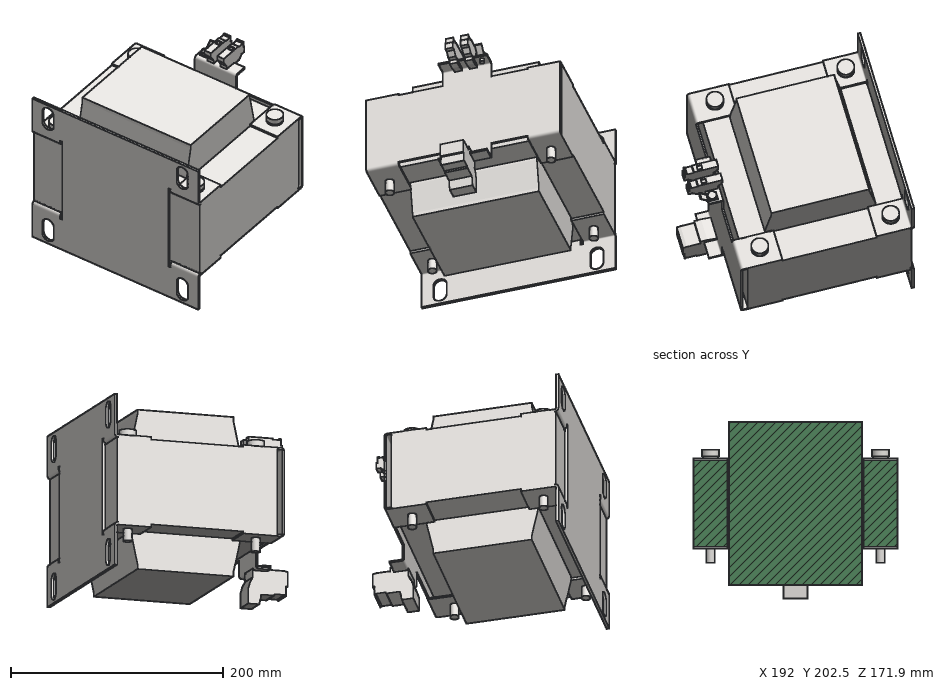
import cadquery as cq
core_width = 192.0
core_depth = 159.7
core_height = 81.8
limb = core_width / 6
window_depth = core_depth - 2 * limb
core_top = core_height / 2

coil_width = 125.3
coil_height = 153.8
coil_collar = 4.0
coil_flare = 6.3
coil_base_band = 2.8

bend_radius = 1.2

front_sheet = 2.6
front_plate_height = 164.8
front_flange_reach = 36.6
opening_width = 34.6
relief_height = 92.7
slot_width = 13.2
slot_length = 25.5
slot_x = 77.7
slot_z = 66.4

rear_sheet = 1.8
rear_outer_y = 169.2
rear_flange_end_y = 128.5
tab_width = 48.0
tab_x = -4.0
tab_height = 57.3
tab_end_y = 181.8

screw_head_diameter = 16.2
screw_head_height = 6.3
screw_collar_diameter = 14.4
screw_collar_height = 1.6
screw_diameter = 8.3
screw_length = 100.2

upper_terminal_width = 7.5
upper_terminal_centers = (-11.0, 4.0)
wire_hole_width = 3.8
wire_hole_length = 4.7
wire_hole_y = 182.2
wire_hole_depth = 1.0
lower_terminal_width = 22.7
upper_terminal_top = 72.5
upper_terminal_recess = 1.0
lower_terminal_bottom = -89.5
terminal_rear_y = 202.5

earth_x = -21.7
earth_y = 176.9
earth_head_diameter = 8.3
earth_head_height = 3.0
earth_screw_diameter = 4.3
earth_screw_end_z = 52.2
lug_sheet = 0.6
lug_width = 8.0
lug_front_y = 172.2
lug_bend_y = 181.1
lug_tail_width = 6.7
lug_tail_rise = 7.5
lug_shoulder_rise = 1.6

half_width = core_width / 2
core_front_y = front_sheet
core_rear_y = core_front_y + core_depth
window_front_y = core_front_y + limb
window_rear_y = window_front_y + window_depth
screw_x = half_width - limb / 2
rear_inner_y = rear_outer_y - rear_sheet


def box(x0, x1, y0, y1, z0, z1):
    """Box between two opposite corners."""
    return cq.Workplane("XY").box(x1 - x0, y1 - y0, z1 - z0, centered=False).translate((x0, y0, z0))


def side_prism(points, center_x, width):
    """Closed (y, z) outline extruded along X, centred on center_x."""
    outline = cq.Workplane("YZ").workplane(offset=center_x - width / 2).polyline(points).close()
    return outline.extrude(width)


def cylinder(x, y, z0, z1, diameter):
    """Upright cylinder from z0 to z1."""
    return cq.Workplane("XY").workplane(offset=z0).center(x, y).circle(diameter / 2).extrude(z1 - z0)


def bent_sheet(corner_y, corner_z, end_y, end_z, sheet, center_x, width):
    """L-shaped sheet running from its rounded outer corner to end_y and to end_z."""
    inner_y = corner_y + (sheet if end_y > corner_y else -sheet)
    inner_z = corner_z + (sheet if end_z > corner_z else -sheet)
    outline = [
        (corner_y, corner_z),
        (end_y, corner_z),
        (end_y, inner_z),
        (inner_y, inner_z),
        (inner_y, end_z),
        (corner_y, end_z),
    ]
    blank = side_prism(outline, center_x, width)
    inner_edge = cq.selectors.NearestToPointSelector((center_x, inner_y, inner_z))
    blank = blank.edges(inner_edge).fillet(bend_radius)
    outer_edge = cq.selectors.NearestToPointSelector((center_x, corner_y, corner_z))
    return blank.edges(outer_edge).fillet(bend_radius + sheet)


def make_core():
    core = box(-half_width, half_width, core_front_y, core_rear_y, -core_top, core_top)
    for window_x in (-1.5 * limb, 1.5 * limb):
        core = core.cut(
            box(window_x - limb / 2, window_x + limb / 2, window_front_y, window_rear_y, -core_top, core_top)
        )
    return core


def make_coil():
    end_z = coil_height / 2
    coil = box(-coil_width / 2, coil_width / 2, window_front_y, window_rear_y, -end_z, end_z)
    for side in (-1, 1):
        base_z = side * core_top
        band_z = side * (core_top + coil_base_band)
        collar_z = side * (end_z - coil_collar)
        flare = [
            (window_front_y - coil_flare, base_z),
            (window_rear_y + coil_flare, base_z),
            (window_rear_y + coil_flare, band_z),
            (window_rear_y, collar_z),
            (window_front_y, collar_z),
            (window_front_y - coil_flare, band_z),
        ]
        coil = coil.union(side_prism(flare, 0, coil_width))
    return coil


def make_front_plate():
    half_height = front_plate_height / 2
    bend_end_z = core_top + front_sheet + bend_radius
    leg_end_z = relief_height / 2
    plate = box(-half_width, half_width, 0, front_sheet, -half_height, half_height)
    slots = (
        cq.Workplane("XZ")
        .pushPoints([(x, z) for x in (-slot_x, slot_x) for z in (-slot_z, slot_z)])
        .slot2D(slot_length, slot_width, 90)
        .extrude(-front_sheet)
    )
    plate = plate.cut(slots)
    for side in (-1, 1):
        opening_x = side * (half_width - opening_width / 2)
        relief_width = opening_width - limb
        relief_x = side * (half_width - limb - relief_width / 2)
        for center_x, width, height in (
            (opening_x, opening_width, 2 * bend_end_z),
            (relief_x, relief_width, relief_height),
        ):
            plate = plate.cut(
                box(center_x - width / 2, center_x + width / 2, 0, front_sheet, -height / 2, height / 2)
            )
        for level in (-1, 1):
            flange = bent_sheet(
                0, level * core_top, front_flange_reach, level * leg_end_z, front_sheet, side * screw_x, limb
            )
            plate = plate.union(flange)
    return plate


def make_rear_bracket():
    flange_z = core_top + rear_sheet
    plate_top = core_top - bend_radius
    bracket = box(-half_width, half_width, rear_inner_y, rear_outer_y, -plate_top, plate_top)
    for level in (-1, 1):
        for side in (-1, 1):
            flange = bent_sheet(
                rear_outer_y, level * flange_z, rear_flange_end_y, 0, rear_sheet, side * screw_x, limb
            )
            bracket = bracket.union(flange)
        tab = bent_sheet(rear_inner_y, level * tab_height, tab_end_y, 0, rear_sheet, tab_x, tab_width)
        bracket = bracket.union(tab)
    return bracket


def make_clamp_screw(x, y, seat_z):
    head_z = seat_z + screw_collar_height
    screw = cylinder(x, y, head_z, head_z + screw_head_height, screw_head_diameter)
    screw = screw.union(cylinder(x, y, seat_z, head_z, screw_collar_diameter))
    return screw.union(cylinder(x, y, head_z - screw_length, head_z, screw_diameter))


def make_upper_terminal(center_x):
    top = upper_terminal_top
    recess_z = top - upper_terminal_recess
    outline = [
        (197.0, top),
        (195.3, top),
        (195.3, recess_z),
        (189.0, recess_z),
        (188.5, top),
        (164.8, top),
        (164.8, 67.6),
        (169.5, 60.7),
        (169.5, 53.2),
        (173.0, 52.6),
        (178.1, 51.5),
        (184.8, 51.5),
        (184.8, 55.5),
        (189.5, 55.5),
        (194.0, 59.7),
        (198.1, 59.7),
        (198.1, 66.2),
        (197.0, 66.2),
    ]
    block = side_prism(outline, center_x, upper_terminal_width)
    wire_hole = box(
        center_x - wire_hole_width / 2,
        center_x + wire_hole_width / 2,
        wire_hole_y - wire_hole_length / 2,
        wire_hole_y + wire_hole_length / 2,
        top - wire_hole_depth,
        top,
    )
    return block.cut(wire_hole)


def make_lower_terminal():
    outline = [
        (terminal_rear_y, -56.3),
        (198.8, -55.5),
        (185.4, -55.5),
        (185.4, -51.6),
        (178.7, -51.6),
        (169.6, -53.0),
        (167.5, -53.0),
        (167.5, -63.8),
        (165.0, -68.5),
        (163.0, -75.0),
        (163.0, lower_terminal_bottom),
        (174.0, lower_terminal_bottom),
        (176.0, -80.0),
        (188.8, -80.0),
        (189.9, -78.5),
        (199.2, -78.5),
        (200.8, -79.5),
        (200.8, -70.2),
        (terminal_rear_y, -70.2),
    ]
    return side_prism(outline, 0, lower_terminal_width)


def make_earth_connection():
    lug_top = tab_height + lug_sheet
    lug = box(earth_x - lug_width / 2, earth_x + lug_width / 2, lug_front_y, lug_bend_y, tab_height, lug_top)
    for rise, width in ((lug_shoulder_rise, lug_width), (lug_tail_rise, lug_tail_width)):
        slope = [
            (lug_bend_y - lug_sheet, tab_height),
            (lug_bend_y + lug_sheet, tab_height),
            (lug_bend_y + lug_sheet + rise, tab_height + rise),
            (lug_bend_y - lug_sheet + rise, tab_height + rise),
        ]
        lug = lug.union(side_prism(slope, earth_x, width))
    head = cylinder(earth_x, earth_y, lug_top, lug_top + earth_head_height, earth_head_diameter)
    shank = cylinder(earth_x, earth_y, earth_screw_end_z, lug_top, earth_screw_diameter)
    return lug.union(head).union(shank)


result = make_core().union(make_coil()).union(make_front_plate()).union(make_rear_bracket())

for side in (-1, 1):
    front_screw = make_clamp_screw(side * screw_x, core_front_y + limb / 2, core_top + front_sheet)
    rear_screw = make_clamp_screw(side * screw_x, core_rear_y - limb / 2, core_top + rear_sheet)
    result = result.union(front_screw).union(rear_screw)

for terminal_x in upper_terminal_centers:
    result = result.union(make_upper_terminal(terminal_x))

result = result.union(make_lower_terminal()).union(make_earth_connection())